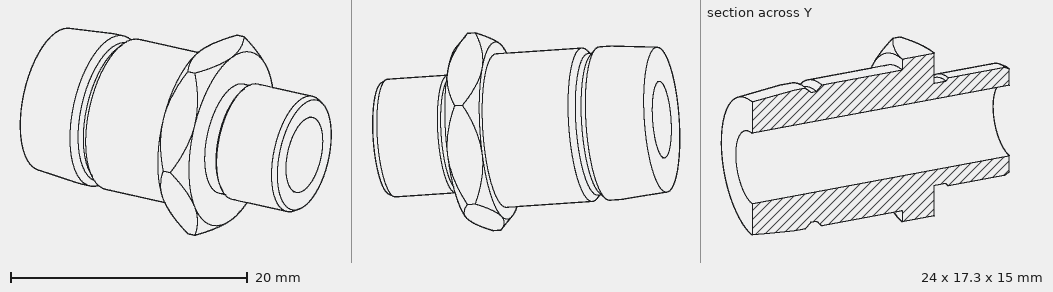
import cadquery as cq
import math

LENGTH = 24.0
TAPER_END = 4.0
GROOVE_START = 5.0
GROOVE_WIDTH = 1.5
HEX_START = 14.0
HEX_WIDTH = 3.0
THREAD_START = 18.07

BODY_RADIUS = 6.5
NOSE_RADIUS = 6.15
GROOVE_DEPTH = 0.5
NECK_RADIUS = 4.73
THREAD_RADIUS = 5.0
BORE_RADIUS = 3.25

HEX_ACROSS_FLATS = 15.0
HEX_FACE_RADIUS = HEX_ACROSS_FLATS / 2

THREAD_BACK_CHAMFER_LENGTH = 0.22
THREAD_END_CHAMFER_LENGTH = 0.43
THREAD_END_CHAMFER_DEPTH = 0.25


def revolve_about_x(points):
    """Solid of revolution about X from (axial, radius) outline points."""
    return cq.Workplane("XZ").polyline(points).close().revolve(360, (0, 0), (1, 0))


def make_body():
    """Tapered nose and cylinder with a locking groove whose sides slope at 45 degrees."""
    groove_end = GROOVE_START + GROOVE_WIDTH
    groove_radius = BODY_RADIUS - GROOVE_DEPTH
    return revolve_about_x([
        (0, 0),
        (0, NOSE_RADIUS),
        (TAPER_END, BODY_RADIUS),
        (GROOVE_START, BODY_RADIUS),
        (GROOVE_START + GROOVE_DEPTH, groove_radius),
        (groove_end - GROOVE_DEPTH, groove_radius),
        (groove_end, BODY_RADIUS),
        (HEX_START, BODY_RADIUS),
        (HEX_START, 0),
    ])


def make_hexagon():
    """Hexagon with flats facing +Z and -Z, its corners turned off at 45 degrees."""
    across_corners = HEX_ACROSS_FLATS / math.cos(math.pi / 6)
    prism = (
        cq.Workplane("YZ", origin=(HEX_START, 0, 0))
        .polygon(6, across_corners)
        .extrude(HEX_WIDTH)
    )
    half_width = HEX_WIDTH / 2
    hex_end = HEX_START + HEX_WIDTH
    double_cone = revolve_about_x([
        (HEX_START, 0),
        (HEX_START, HEX_FACE_RADIUS),
        (HEX_START + half_width, HEX_FACE_RADIUS + half_width),
        (hex_end, HEX_FACE_RADIUS),
        (hex_end, 0),
    ])
    return prism.intersect(double_cone)


def make_threaded_end():
    """Undercut neck, then the thread cylinder with both ends chamfered."""
    neck_start = HEX_START + HEX_WIDTH
    return revolve_about_x([
        (neck_start, 0),
        (neck_start, NECK_RADIUS),
        (THREAD_START, NECK_RADIUS),
        (THREAD_START + THREAD_BACK_CHAMFER_LENGTH, THREAD_RADIUS),
        (LENGTH - THREAD_END_CHAMFER_LENGTH, THREAD_RADIUS),
        (LENGTH, THREAD_RADIUS - THREAD_END_CHAMFER_DEPTH),
        (LENGTH, 0),
    ])


bore = cq.Workplane("YZ").circle(BORE_RADIUS).extrude(LENGTH)

result = make_body().union(make_hexagon()).union(make_threaded_end()).cut(bore)